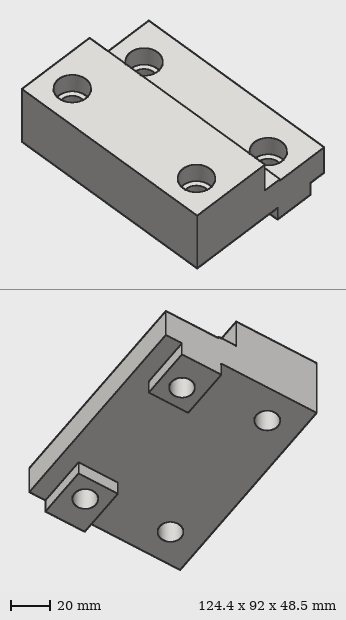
import cadquery as cq

length = 124.4
width = 92.0
height = 48.5

foot_height = 8.8
tall_width = 49.1
land_end = 60.0
land_top = 29.1
shelf_top = 28.0

foot_length = 30.2
foot_start = 58.2
foot_width = 24.0

hole_end_inset = 18.2
hole_front_inset = 18.0
hole_row_spacing = 52.0
hole_diameter = 13.0
counterbore_diameter = 19.0
counterbore_depth = 12.5


def stepped_body():
    """Tall block with a narrow land and a lower shelf behind it."""
    profile = [
        (0, foot_height),
        (width, foot_height),
        (width, shelf_top),
        (land_end, shelf_top),
        (land_end, land_top),
        (tall_width, land_top),
        (tall_width, height),
        (0, height),
    ]
    return cq.Workplane("YZ").polyline(profile).close().extrude(length)


def foot(x_start):
    """Rectangular foot reaching from the ground to the body underside."""
    block = cq.Workplane("XY").box(foot_length, foot_width, foot_height, centered=False)
    return block.translate((x_start, foot_start, 0))


def bolt_hole(x, y, top):
    """Cutter for a through hole counterbored from the given top face."""
    shank = cq.Workplane("XY").center(x, y).circle(hole_diameter / 2).extrude(top)
    head = (
        cq.Workplane("XY", origin=(x, y, top - counterbore_depth))
        .circle(counterbore_diameter / 2)
        .extrude(height)
    )
    return shank.union(head)


result = stepped_body()
for x_start in (0, length - foot_length):
    result = result.union(foot(x_start))

hole_rows = [
    (hole_front_inset, height),
    (hole_front_inset + hole_row_spacing, shelf_top),
]
for x in (hole_end_inset, length - hole_end_inset):
    for y, top in hole_rows:
        result = result.cut(bolt_hole(x, y, top))